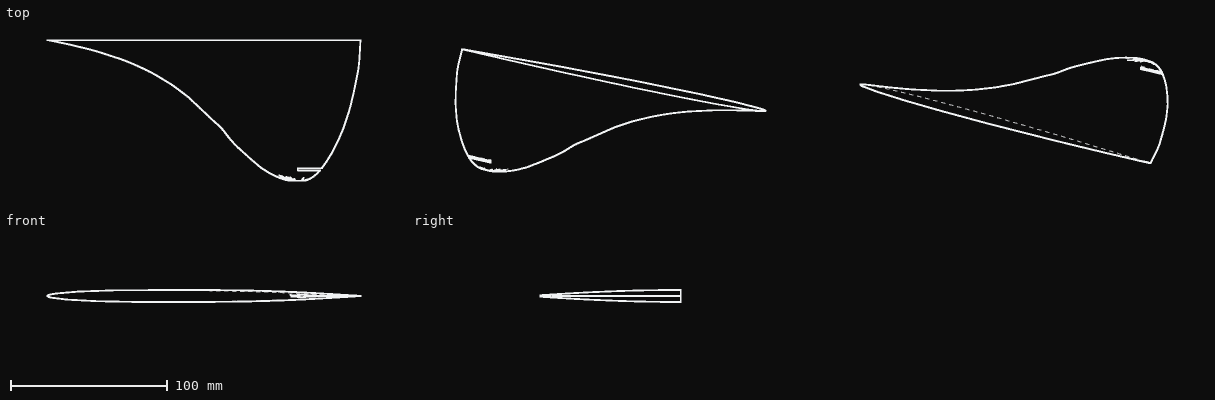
import cadquery as cq
import math

root_chord = 200.0
root_thickness = 7.88
span = 90.0

crest_position = 0.37
nose_exponent = 2.5
tail_exponent = 1.7
section_steps = 16

edge_thickness = 0.3

span_exponent = 1.9
tip_thickness = 1.0

slot_start = 160.0
slot_centre = 82.6
slot_width = 1.2

planform = [
    (0.0, 0.0, root_chord),
    (1.8, 8.5, 199.9),
    (5.4, 24.3, 199.7),
    (12.6, 47.7, 199.3),
    (20.0, 64.6, 198.4),
    (30.5, 82.2, 196.3),
    (41.5, 95.5, 193.8),
    (52.5, 106.9, 190.4),
    (63.0, 116.4, 186.3),
    (70.5, 123.7, 182.6),
    (77.5, 131.4, 178.4),
    (82.0, 136.9, 175.2),
    (86.0, 143.6, 171.5),
    (88.6, 149.6, 167.8),
    (span, 156.5, 163.5),
]


def section_thickness(outboard):
    """Greatest thickness of the section at a distance outboard of the root."""
    fullness = 1.0 - (outboard / span) ** span_exponent
    return tip_thickness + (root_thickness - tip_thickness) * fullness


def half_height(fraction, thickness):
    """Half thickness at a fraction of the chord: rounded nose, tapering tail."""
    crest = thickness / 2
    if fraction < crest_position:
        return crest * math.sqrt(1.0 - (1.0 - fraction / crest_position) ** nose_exponent)
    tail = (fraction - crest_position) / (1.0 - crest_position)
    return crest - (crest - edge_thickness / 2) * tail**tail_exponent


def section_wire(outboard, leading, trailing):
    """Closed symmetric section, blunt at the trailing edge."""
    chord = trailing - leading
    thickness = section_thickness(outboard)
    points = []
    for step in range(-section_steps, section_steps + 1):
        fraction = (step / section_steps) ** 2
        height = math.copysign(half_height(fraction, thickness), -step)
        points.append(cq.Vector(leading + chord * fraction, -outboard, height))
    skin = cq.Edge.makeSpline(points)
    blunt_edge = cq.Edge.makeLine(points[-1], points[0])
    return cq.Wire.assembleEdges([skin, blunt_edge])


def make_fin():
    wires = [section_wire(*station) for station in planform]
    return cq.Workplane(cq.Solid.makeLoft(wires))


def make_slot():
    length = root_chord - slot_start
    return (
        cq.Workplane("XY")
        .box(length, slot_width, root_thickness, centered=(False, True, True))
        .translate((slot_start, -slot_centre, 0))
    )


result = make_fin().cut(make_slot())